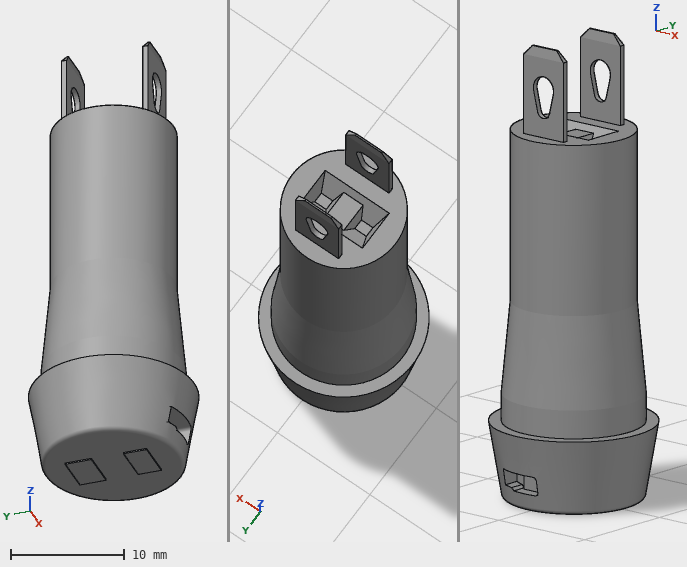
import cadquery as cq

total_height = 41.7
pad_height = 0.13
cap_top = 7.1
collar_top = 9.65
taper_top = 18.0
body_top = 33.55

cap_top_radius = 7.5
cap_bottom_radius = 6.3
cap_edge_fillet = 0.4
collar_radius = 6.4
body_radius = 5.6

blade_width = 4.65
blade_thickness = 0.5
blade_offset = 3.8
blade_root = 0.4
tip_height = 0.9
tip_thickness = 0.15
eye_radius = 1.15
eye_height = 37.95
eye_foot_radius = 0.7
eye_foot_height = 36.03

socket_length = 6.92
socket_width = 4.05
socket_depth = 1.35
well_floor_length = 5.6
well_floor_width = 1.0
saddle_depth = 0.5
saddle_top_half = 1.05
saddle_foot_half = 1.55

window_left = -2.65
window_right = 1.45
window_top = 3.45
window_bottom = 1.7
window_fillet = 0.35
left_floor_height = 1.95
floor_step_x = -1.63

core_radius = 5.25
latch_half = 1.13
latch_face_y = -5.4
latch_slope_bottom = 2.85

pad_length = 3.85
rear_pad_width = 2.45
rear_pad_y = 2.63
front_pad_width = 2.15
front_pad_y = -2.65


def make_body():
    """Cap, collar, taper and cylinder, turned about the Z axis."""
    profile = [
        (0, pad_height),
        (cap_bottom_radius, pad_height),
        (cap_top_radius, cap_top),
        (collar_radius, cap_top),
        (collar_radius, collar_top),
        (body_radius, taper_top),
        (body_radius, body_top),
        (0, body_top),
    ]
    turned = cq.Workplane("XZ").polyline(profile).close().revolve(360, (0, 0), (0, 1))
    return turned.faces("<Z").edges().fillet(cap_edge_fillet)


def make_blade(y):
    """Flat terminal with a tapered tip and a teardrop eye, centred at y."""
    shoulder = total_height - tip_height
    root = body_top - blade_root
    blade = (
        cq.Workplane("XY", origin=(0, y, root))
        .rect(blade_width, blade_thickness)
        .extrude(shoulder - root)
    )
    tip = (
        cq.Workplane("XY", origin=(0, y, shoulder))
        .rect(blade_width, blade_thickness)
        .workplane(offset=tip_height)
        .rect(blade_width - 2 * tip_height, tip_thickness)
        .loft()
    )
    return blade.union(tip).cut(make_eye(y))


def make_eye(y):
    """Teardrop: two arcs joined by their common outer tangents."""
    sine = (eye_radius - eye_foot_radius) / (eye_height - eye_foot_height)
    cosine = (1 - sine**2) ** 0.5
    upper_x = eye_radius * cosine
    upper_z = eye_height - eye_radius * sine
    lower_x = eye_foot_radius * cosine
    lower_z = eye_foot_height - eye_foot_radius * sine
    return (
        cq.Workplane("XZ", origin=(0, y + blade_thickness, 0))
        .moveTo(-upper_x, upper_z)
        .threePointArc((0, eye_height + eye_radius), (upper_x, upper_z))
        .lineTo(lower_x, lower_z)
        .threePointArc((0, eye_foot_height - eye_foot_radius), (-lower_x, lower_z))
        .close()
        .extrude(2 * blade_thickness)
    )


def make_socket():
    """Tapered socket volume, less the saddle that splits its floor."""
    socket = (
        cq.Workplane("XY", origin=(0, 0, body_top))
        .rect(socket_length, socket_width)
        .workplane(offset=-socket_depth)
        .rect(well_floor_length, well_floor_width)
        .loft()
    )
    saddle_top = body_top - saddle_depth
    socket_floor = body_top - socket_depth
    saddle = (
        cq.Workplane("XZ")
        .polyline([
            (-saddle_foot_half, socket_floor),
            (-saddle_top_half, saddle_top),
            (saddle_top_half, saddle_top),
            (saddle_foot_half, socket_floor),
        ])
        .close()
        .extrude(socket_width / 2, both=True)
    )
    return socket.cut(saddle)


def make_window():
    """Window volume outside the core and latch."""
    floor_step = left_floor_height - window_bottom
    opening = (
        cq.Workplane("XZ")
        .moveTo(window_left, window_top)
        .lineTo(window_left, left_floor_height)
        .lineTo(floor_step_x, left_floor_height)
        .lineTo(floor_step_x + floor_step, window_bottom)
        .lineTo(window_right - window_fillet, window_bottom)
        .radiusArc((window_right, window_bottom + window_fillet), -window_fillet)
        .lineTo(window_right, window_top - window_fillet)
        .radiusArc((window_right - window_fillet, window_top), -window_fillet)
        .close()
        .extrude(cap_top_radius)
    )
    core = cq.Workplane("XY").circle(core_radius).extrude(cap_top)
    return opening.cut(core).cut(make_latch())


def make_latch():
    """Latch with a flat face whose upper part slopes back to the core."""
    return (
        cq.Workplane("YZ")
        .polyline([
            (0, window_bottom),
            (latch_face_y, window_bottom),
            (latch_face_y, latch_slope_bottom),
            (-core_radius, window_top),
            (0, window_top),
        ])
        .close()
        .extrude(latch_half, both=True)
    )


def make_pad(y, width):
    """Low pad reaching from the lowest point up into the cap."""
    return cq.Workplane("XY", origin=(0, y, 0)).rect(pad_length, width).extrude(2 * pad_height)


result = make_body().cut(make_socket()).cut(make_window())
for side in (-1, 1):
    result = result.union(make_blade(side * blade_offset))
result = result.union(make_pad(rear_pad_y, rear_pad_width))
result = result.union(make_pad(front_pad_y, front_pad_width))